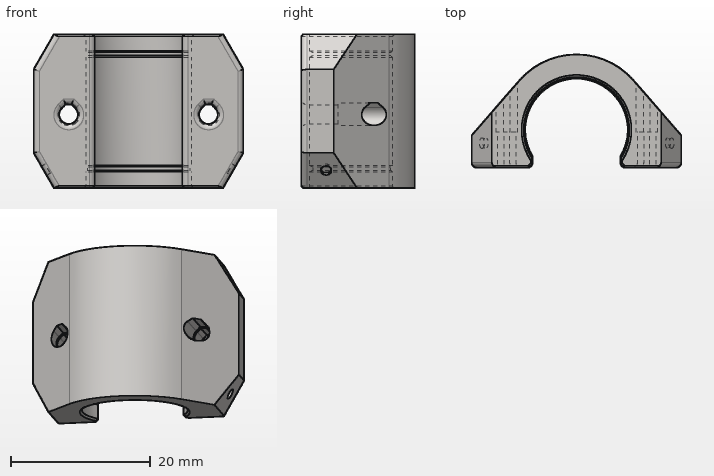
import cadquery as cq
import math

width = 30.0
depth = 16.23
height = 22.0

outer_radius = 10.8
tangent_degrees = 41.0
bore_radius = 7.55
opening_width = 12.5
ridge_radius = 7.32
ridge_width = 0.93
ridge_offset = 8.2

edge_fillet = 0.8
end_chamfer = 0.3

corner_cut_x = 2.9
corner_angle = 60.0

screw_x = 10.0
screw_z = -0.5
screw_radius = 1.32
counterbore_radius = 1.53
counterbore_floor = 5.2
teardrop_flat_ratio = 1.1

recess_diameter = 1.5
recess_depth = 0.6
recess_y = 3.57
recess_z = -8.5

bore_y = depth - outer_radius
half_width = width / 2
half_height = height / 2
half_opening = opening_width / 2
corner_slope = math.tan(math.radians(corner_angle))
corner_cut_z = corner_cut_x * corner_slope
small = 0.003


def make_outline():
    """Extruded saddle: short upright sides joined by tangents to the outer arc."""
    tangent_angle = math.radians(tangent_degrees)
    tangent_x = outer_radius * math.cos(tangent_angle)
    tangent_y = bore_y + outer_radius * math.sin(tangent_angle)
    shoulder_y = tangent_y - (half_width - tangent_x) / math.tan(tangent_angle)
    return (
        cq.Workplane("XY")
        .workplane(offset=-half_height)
        .moveTo(-half_width, 0)
        .lineTo(half_width, 0)
        .lineTo(half_width, shoulder_y)
        .lineTo(tangent_x, tangent_y)
        .threePointArc((0, depth), (-tangent_x, tangent_y))
        .lineTo(-half_width, shoulder_y)
        .close()
        .extrude(height)
    )


def opening_block():
    return cq.Workplane("XY").box(opening_width, bore_y, height, centered=(True, False, True))


def is_seat_edge(edge):
    """True for end-face edges along the bore, the lips and the mounting face."""
    centre = edge.Center()
    on_end_face = abs(abs(centre.z) - half_height) < small
    on_bore = (
        edge.geomType() == "CIRCLE"
        and abs(edge.radius() - bore_radius) < small
    )
    on_lip = centre.y < bore_y and abs(centre.x) < half_opening + edge_fillet
    on_mounting_face = abs(centre.y) < small
    return on_end_face and (on_bore or on_lip or on_mounting_face)


def make_seat(body):
    """Open the bore through the mounting face, round its lips and chamfer the ends."""
    bore = cq.Workplane("XY").center(0, bore_y).circle(bore_radius).extrude(half_height, both=True)
    body = body.cut(bore).cut(opening_block())
    lip_box = cq.selectors.BoxSelector(
        (-half_opening - small, -small, -height), (half_opening + small, small, height)
    )
    body = body.edges("|Z").edges(lip_box).fillet(edge_fillet)
    seat_edges = [edge for edge in body.edges().vals() if is_seat_edge(edge)]
    return body.newObject(seat_edges).chamfer(end_chamfer)


def cut_corners(body):
    for side_x in (-1, 1):
        for side_z in (-1, 1):
            corner = (
                cq.Workplane("XZ")
                .moveTo(side_x * half_width, side_z * half_height)
                .lineTo(side_x * (half_width - corner_cut_x), side_z * half_height)
                .lineTo(side_x * half_width, side_z * (half_height - corner_cut_z))
                .close()
                .extrude(-depth)
            )
            body = body.cut(corner)
    return body


def round_outer_edges(body):
    """Round the side and slanted edges of the mounting face."""
    inner_limit = half_width - corner_cut_x
    edges = [
        edge
        for edge in body.edges().vals()
        if abs(edge.Center().y) < small and abs(edge.Center().x) > inner_limit
    ]
    return body.newObject(edges).fillet(edge_fillet)


def add_ridges(body):
    """Two bevelled retaining ridges inside the bore."""
    bevel = bore_radius - ridge_radius
    root_radius = (bore_radius + outer_radius) / 2
    half_base = ridge_width / 2
    half_crest = half_base - bevel
    for ridge_z in (-ridge_offset, ridge_offset):
        ridge = (
            cq.Workplane("XZ", origin=(0, bore_y, ridge_z))
            .moveTo(root_radius, -half_base)
            .lineTo(bore_radius, -half_base)
            .lineTo(ridge_radius, -half_crest)
            .lineTo(ridge_radius, half_crest)
            .lineTo(bore_radius, half_base)
            .lineTo(root_radius, half_base)
            .close()
            .revolve(360, (0, 0, 0), (0, 1, 0))
        )
        front_trim = cq.Workplane("XY").box(width, 2 * depth, height).translate(
            (0, edge_fillet - depth, 0)
        )
        body = body.union(ridge.cut(opening_block()).cut(front_trim))
    return body


def teardrop(radius, start_y, end_y):
    """Prism along Y: a circle with 45 degree shoulders up to a flat roof."""
    shoulder = radius * math.sqrt(0.5)
    roof_z = radius * teardrop_flat_ratio
    roof_half = radius * math.sqrt(2) - roof_z
    return (
        cq.Workplane("XZ", origin=(0, start_y, screw_z))
        .moveTo(-shoulder, shoulder)
        .threePointArc((0, -radius), (shoulder, shoulder))
        .lineTo(roof_half, roof_z)
        .lineTo(-roof_half, roof_z)
        .close()
        .extrude(start_y - end_y)
    )


def cut_screw_holes(body):
    """Stepped holes, with the mouth on the mounting face rounded outwards."""
    hole = teardrop(screw_radius, 0, depth)
    counterbore = teardrop(counterbore_radius, counterbore_floor, depth)
    for hole_x in (-screw_x, screw_x):
        body = body.cut(hole.translate((hole_x, 0, 0)))
        reach = screw_radius + edge_fillet
        mouth_box = cq.selectors.BoxSelector(
            (hole_x - reach, -small, screw_z - reach), (hole_x + reach, small, screw_z + reach)
        )
        body = body.edges(mouth_box).fillet(edge_fillet)
        body = body.cut(counterbore.translate((hole_x, 0, 0)))
    return body


def cut_recesses(body):
    """Blind recesses square to the two lower slanted faces."""
    below_corner = -recess_z - (half_height - corner_cut_z)
    face_x = half_width - below_corner / corner_slope
    slope = math.radians(corner_angle)
    for side in (-1, 1):
        inward = cq.Vector(-side * math.sin(slope), 0, math.cos(slope))
        mouth = cq.Vector(side * face_x, recess_y, recess_z)
        recess = cq.Solid.makeCylinder(recess_diameter / 2, recess_depth, mouth, inward)
        body = body.cut(cq.Workplane(recess))
    return body


body = make_outline()
body = make_seat(body)
body = cut_corners(body)
body = round_outer_edges(body)
body = add_ridges(body)
body = cut_screw_holes(body)
result = cut_recesses(body)